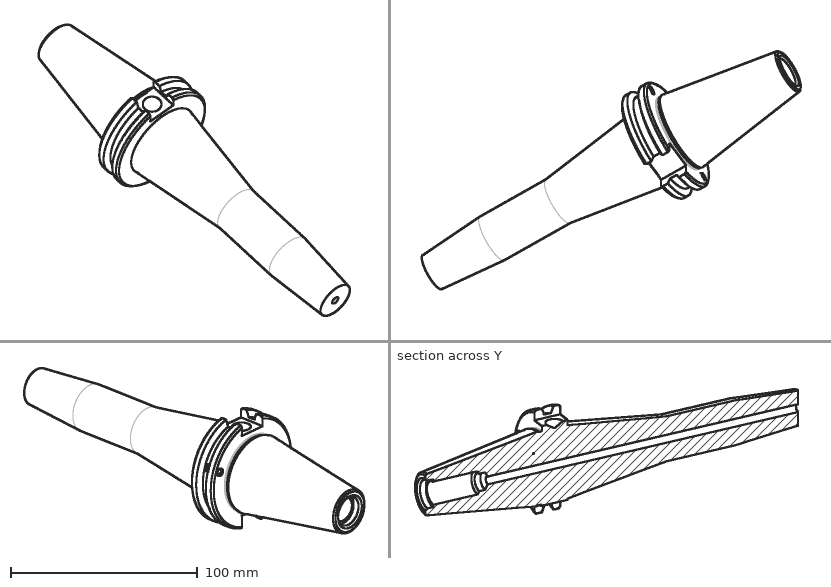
import cadquery as cq
import math


total_length = 228.2
gauge_x = 68.2
relief_x = 69.6
flange_front_x = 71.2
flange_length = 16.0
body_cone_end_x = 148.0
nose_cone_start_x = 190.0
flange_rear_x = flange_front_x + flange_length

gauge_dia = 44.5
taper_ratio = 7 / 24
relief_dia = 43.5
relief_fillet = 0.5
flange_dia = 63.5
body_cone_dia = 43.8
body_dia = 27.0
nose_tip_dia = 21.0

taper_tip_chamfer = 1.0
flange_chamfer = 1.1

groove_width = 7.0
groove_floor_width = 4.0
groove_floor_dia = 56.1
groove_center_x = flange_front_x + 8.2

slot_width = 16.2
upper_slot_floor_z = 24.9
lower_slot_floor_z = -22.5

dimple_dia = 10.0
drill_point_angle = 118.0

coolant_hole_dia = 4.0
coolant_hole_depth = 1.8
coolant_pilot_dia = 3.2
coolant_pilot_end = 2.7
face_hole_radius = 27.2
face_hole_tilt = 30.0
coolant_hole_angles = (-70.0, 110.0)

bore_mouth_dia = 18.7
bore_entry_dia = 16.2
bore_entry_depth = 4.8
thread_dia = 13.5
thread_end_x = 32.0
pilot_dia = 10.0
pilot_end_x = 36.5
coolant_bore_dia = 4.3


def drill_point_height(diameter):
    """Height of a full drill point of the given diameter."""
    return diameter / 2 / math.tan(math.radians(drill_point_angle / 2))


def revolve_about_x(points):
    """Solid of revolution about X from (x, radius) points."""
    return cq.Workplane("XY").polyline(points).close().revolve(360, (0, 0, 0), (1, 0, 0))


def stepped_hole():
    """Coolant hole along +Z from the origin: counterbore, step and a pilot with a drill point.

    The counterbore also reaches behind the origin so that a tilted hole opens fully.
    """
    outer_radius = coolant_hole_dia / 2
    pilot_radius = coolant_pilot_dia / 2
    profile = [
        (0, -coolant_hole_dia),
        (outer_radius, -coolant_hole_dia),
        (outer_radius, coolant_hole_depth),
        (pilot_radius, coolant_hole_depth),
        (pilot_radius, coolant_pilot_end),
        (0, coolant_pilot_end + drill_point_height(coolant_pilot_dia)),
    ]
    return cq.Workplane("XZ").polyline(profile).close().revolve(360, (0, 0, 0), (0, 1, 0))


def outer_body():
    taper_tip_radius = (gauge_dia - taper_ratio * gauge_x) / 2
    flange_radius = flange_dia / 2
    return revolve_about_x([
        (0, 0),
        (0, taper_tip_radius - taper_tip_chamfer),
        (taper_tip_chamfer, taper_tip_radius + taper_ratio / 2 * taper_tip_chamfer),
        (gauge_x, gauge_dia / 2),
        (relief_x, relief_dia / 2),
        (flange_front_x, relief_dia / 2),
        (flange_front_x, flange_radius - flange_chamfer),
        (flange_front_x + flange_chamfer, flange_radius),
        (groove_center_x - groove_width / 2, flange_radius),
        (groove_center_x - groove_floor_width / 2, groove_floor_dia / 2),
        (groove_center_x + groove_floor_width / 2, groove_floor_dia / 2),
        (groove_center_x + groove_width / 2, flange_radius),
        (flange_rear_x - flange_chamfer, flange_radius),
        (flange_rear_x, flange_radius - flange_chamfer),
        (flange_rear_x, body_cone_dia / 2),
        (body_cone_end_x, body_dia / 2),
        (nose_cone_start_x, body_dia / 2),
        (total_length, nose_tip_dia / 2),
        (total_length, 0),
    ])


def flange_fillet():
    """Concave fillet ring between the relief and the front face of the flange."""
    start_x = flange_front_x - relief_fillet
    inner_radius = relief_dia / 2
    outer_radius = inner_radius + relief_fillet
    arc_offset = relief_fillet * math.sqrt(0.5)
    return (
        cq.Workplane("XY")
        .moveTo(start_x, inner_radius)
        .threePointArc((start_x + arc_offset, outer_radius - arc_offset), (flange_front_x, outer_radius))
        .lineTo(flange_front_x, inner_radius)
        .close()
        .revolve(360, (0, 0, 0), (1, 0, 0))
    )


def bore():
    mouth_chamfer = (bore_mouth_dia - bore_entry_dia) / 2
    thread_point_length = drill_point_height(thread_dia) - drill_point_height(pilot_dia)
    pilot_point_length = drill_point_height(pilot_dia) - drill_point_height(coolant_bore_dia)
    return revolve_about_x([
        (0, 0),
        (0, bore_mouth_dia / 2),
        (mouth_chamfer, bore_entry_dia / 2),
        (bore_entry_depth, bore_entry_dia / 2),
        (bore_entry_depth, thread_dia / 2),
        (thread_end_x, thread_dia / 2),
        (thread_end_x + thread_point_length, pilot_dia / 2),
        (pilot_end_x, pilot_dia / 2),
        (pilot_end_x + pilot_point_length, coolant_bore_dia / 2),
        (total_length, coolant_bore_dia / 2),
        (total_length, 0),
    ])


def drive_slot(floor_z):
    """Cutter for a slot along X, open outwards from floor_z."""
    outer_z = math.copysign(flange_dia, floor_z)
    return (
        cq.Workplane("XY", origin=(flange_front_x, 0, floor_z))
        .rect(flange_length, slot_width)
        .extrude(outer_z - floor_z)
        .translate((flange_length / 2, 0, 0))
    )


def slot_dimple():
    profile = [(0, 0), (dimple_dia / 2, 0), (0, -drill_point_height(dimple_dia))]
    slot_center_x = flange_front_x + flange_length / 2
    return (
        cq.Workplane("XZ")
        .polyline(profile)
        .close()
        .revolve(360, (0, 0, 0), (0, 1, 0))
        .translate((slot_center_x, 0, upper_slot_floor_z))
    )


def coolant_holes():
    """Tilted face hole and radial groove hole on the +Z side, before turning about X."""
    face_hole = (
        stepped_hole()
        .rotate((0, 0, 0), (0, 1, 0), 90 + face_hole_tilt)
        .translate((flange_front_x, 0, face_hole_radius))
    )
    groove_hole = (
        stepped_hole()
        .rotate((0, 0, 0), (0, 1, 0), 180)
        .translate((groove_center_x, 0, groove_floor_dia / 2))
    )
    return face_hole.union(groove_hole)


result = outer_body().union(flange_fillet()).cut(bore())
for slot_floor_z in (upper_slot_floor_z, lower_slot_floor_z):
    result = result.cut(drive_slot(slot_floor_z))
result = result.cut(slot_dimple())
for turn_angle in coolant_hole_angles:
    result = result.cut(coolant_holes().rotate((0, 0, 0), (1, 0, 0), turn_angle))